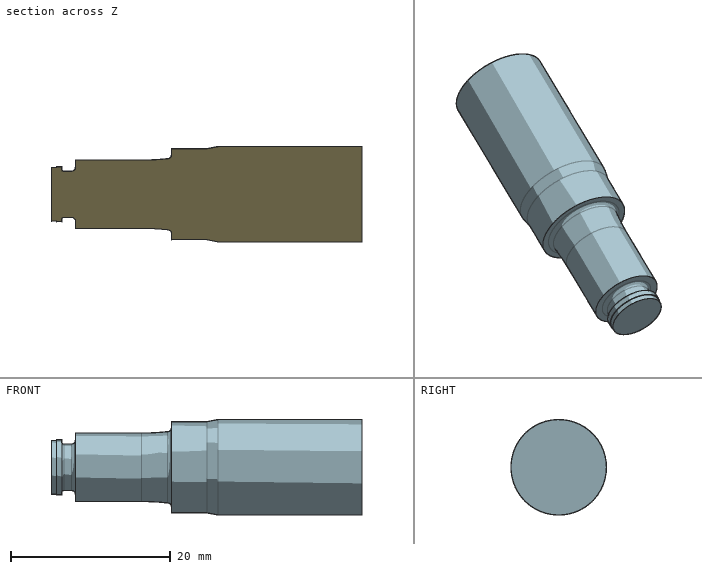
import cadquery as cq
import math

length = 39.0
lip_step = 0.62
lip_end = 1.33
shank_start = 3.0
flare_start = 11.3
collar_start = 15.05
shoulder_start = 19.5
body_start = 20.9

lip_face_radius = 3.4
lip_radius = 3.47
groove_radius = 2.92
shank_diameter = 8.6
shank_radius = shank_diameter / 2
flare_end_radius = 4.5
collar_radius = 5.75
body_radius = 6.0

lip_fillet = 0.25
shank_fillet = 0.45
collar_fillet = 0.45

flare_end = collar_start - collar_fillet
flare_length = flare_end - flare_start
flare_rise = flare_end_radius - shank_radius
flare_angle = 2 * math.atan2(flare_rise, flare_length)
flare_arc_radius = flare_length / math.sin(flare_angle)
flare_mid = (
    flare_start + flare_arc_radius * math.sin(flare_angle / 2),
    shank_radius + flare_arc_radius * (1 - math.cos(flare_angle / 2)),
)


def corner_arc_mid(center_x, center_r, radius, x_direction):
    """Midpoint of a quarter arc on the axis-facing side of its center."""
    offset = radius * math.sqrt(0.5)
    return (center_x + x_direction * offset, center_r - offset)


lip_fillet_x = lip_end + lip_fillet
lip_fillet_r = groove_radius + lip_fillet
shank_fillet_x = shank_start - shank_fillet
shank_fillet_r = groove_radius + shank_fillet
collar_fillet_r = flare_end_radius + collar_fillet

profile = (
    cq.Workplane("XY")
    .moveTo(0, 0)
    .lineTo(0, lip_face_radius)
    .lineTo(lip_step, lip_face_radius)
    .lineTo(lip_step, lip_radius)
    .lineTo(lip_end, lip_radius)
    .lineTo(lip_end, lip_fillet_r)
    .threePointArc(
        corner_arc_mid(lip_fillet_x, lip_fillet_r, lip_fillet, -1),
        (lip_fillet_x, groove_radius),
    )
    .lineTo(shank_fillet_x, groove_radius)
    .threePointArc(
        corner_arc_mid(shank_fillet_x, shank_fillet_r, shank_fillet, 1),
        (shank_start, shank_fillet_r),
    )
    .lineTo(shank_start, shank_radius)
    .lineTo(flare_start, shank_radius)
    .threePointArc(flare_mid, (flare_end, flare_end_radius))
    .threePointArc(
        corner_arc_mid(flare_end, collar_fillet_r, collar_fillet, 1),
        (collar_start, collar_fillet_r),
    )
    .lineTo(collar_start, collar_radius)
    .lineTo(shoulder_start, collar_radius)
    .lineTo(body_start, body_radius)
    .lineTo(length, body_radius)
    .lineTo(length, 0)
    .close()
)

result = profile.revolve(360, (0, 0, 0), (1, 0, 0))